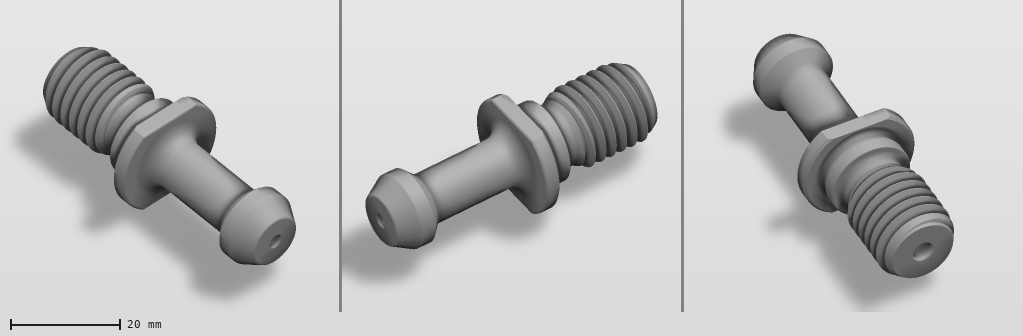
import cadquery as cq
import math


total_length = 57.15
flange_radius = 11.5
flange_face_x = 25.0
flange_back_x = 28.15
width_across_flats = 19.0
flange_edge = 0.5

thread_major_radius = 15.875 / 2
thread_core_radius = 6.4
thread_pitch = 25.4 / 11
thread_crest_flat = 0.12
thread_flank_angle = math.radians(30)
thread_chamfer_angle = math.radians(30)
crest_phase_x = 3.92
ridge_lead_in_turns = 3
ridge_turns = 10
ridge_embed = 0.2

neck_radius = 6.25
neck_start_x = 17.6
neck_fillet = 1.0
collar_radius = 8.15
collar_start_x = 20.5
collar_edge = 0.3
collar_end_x = 22.9

relief_radius = 7.77
relief_start_x = 24.08
relief_arc_start_x = 24.65
relief_arc_radius = 0.6
relief_face_radius = 9.2
relief_face_angle = math.radians(20)
flange_centre_depth = 1.0

stem_radius = 5.0
stem_root_fillet = 3.0
stem_head_fillet = 2.0
head_radius = 7.5
head_start_x = 50.13
head_end_x = 53.03
head_back_angle = math.radians(45)
head_nose_angle = math.radians(30)
head_edge_fillet = 0.5

bore_radius = 2.0
bore_depth = flange_face_x
bore_chamfer = 0.22
through_radius = 1.5
drill_tip_angle = math.radians(59)


def revolve_about_x(outline):
    return outline.close().revolve(360, (0, 0, 0), (1, 0, 0))


def make_shank():
    """Thread core chamfered at both ends, neck, pilot collar and flange centre.

    The flange centre carries the undercut: an arc from the relief cylinder into the
    flange, then a cone that rises to the flange face.
    """
    core_chamfer = (thread_core_radius - neck_radius) / math.tan(thread_chamfer_angle)
    half_angle = thread_chamfer_angle / 2
    tangent = neck_fillet * math.tan(half_angle)
    blend_start = (
        neck_start_x - tangent * math.cos(thread_chamfer_angle),
        neck_radius + tangent * math.sin(thread_chamfer_angle),
    )
    blend_end = (neck_start_x + tangent, neck_radius)

    slope_angle = math.atan2(collar_radius - relief_radius, relief_start_x - collar_end_x)
    relief_tangent = relief_arc_radius * math.tan(slope_angle / 2)
    slope_end = (
        relief_start_x - relief_tangent * math.cos(slope_angle),
        relief_radius + relief_tangent * math.sin(slope_angle),
    )

    face_cone_start = (
        relief_arc_start_x + relief_arc_radius * math.cos(relief_face_angle),
        relief_radius + relief_arc_radius * (1 + math.sin(relief_face_angle)),
    )

    outline = (
        cq.Workplane("XY")
        .lineTo(0, neck_radius)
        .lineTo(core_chamfer, thread_core_radius)
        .lineTo(neck_start_x - core_chamfer, thread_core_radius)
        .lineTo(*blend_start)
        .radiusArc(blend_end, -neck_fillet)
        .lineTo(collar_start_x - neck_fillet, neck_radius)
        .radiusArc((collar_start_x, neck_radius + neck_fillet), -neck_fillet)
        .lineTo(collar_start_x, collar_radius - collar_edge)
        .radiusArc((collar_start_x + collar_edge, collar_radius), collar_edge)
        .lineTo(collar_end_x, collar_radius)
        .lineTo(*slope_end)
        .radiusArc((relief_start_x + relief_tangent, relief_radius), -relief_arc_radius)
        .lineTo(relief_arc_start_x, relief_radius)
        .radiusArc(face_cone_start, -relief_arc_radius)
        .lineTo(flange_face_x, relief_face_radius)
        .lineTo(flange_face_x + flange_centre_depth, relief_face_radius)
        .lineTo(flange_face_x + flange_centre_depth, 0)
    )
    return revolve_about_x(outline)


def make_thread_ridge():
    """Helical ridge, trimmed by the chamfer cones at both ends of the thread."""
    root_radius = thread_core_radius - ridge_embed
    crest_half_width = thread_crest_flat / 2
    flank_run = (thread_major_radius - root_radius) * math.tan(thread_flank_angle)
    root_half_width = crest_half_width + flank_run

    helix = cq.Workplane(cq.Wire.makeHelix(thread_pitch, ridge_turns * thread_pitch, thread_core_radius))
    ridge = (
        cq.Workplane("XZ")
        .moveTo(root_radius, -root_half_width)
        .lineTo(thread_major_radius, -crest_half_width)
        .lineTo(thread_major_radius, crest_half_width)
        .lineTo(root_radius, root_half_width)
        .close()
        .sweep(helix, isFrenet=True)
    )
    start_x = crest_phase_x - (ridge_lead_in_turns + 0.5) * thread_pitch
    ridge = ridge.rotate((0, 0, 0), (0, 1, 0), 90).translate((start_x, 0, 0))

    rim_rise = neck_start_x / 2 * math.tan(thread_chamfer_angle)
    envelope = (
        cq.Workplane("XY")
        .lineTo(0, neck_radius)
        .lineTo(neck_start_x / 2, neck_radius + rim_rise)
        .lineTo(neck_start_x, neck_radius)
        .lineTo(neck_start_x, 0)
    )
    return ridge.intersect(revolve_about_x(envelope))


def make_flange():
    """Disc with two flats; front round rim chamfered, whole back edge rounded.

    A recess in its front takes the flange centre that is part of the shank.
    """
    thickness = flange_back_x - flange_face_x
    disc = (
        cq.Workplane("YZ", origin=(flange_face_x, 0, 0))
        .circle(flange_radius)
        .extrude(thickness)
        .faces("<X").edges().chamfer(flange_edge)
    )
    flats = cq.Workplane("XY").box(total_length * 2, flange_radius * 2, width_across_flats)
    flatted_disc = disc.intersect(flats).faces(">X").edges().fillet(flange_edge)
    centre = (
        cq.Workplane("YZ", origin=(flange_face_x, 0, 0))
        .circle(relief_face_radius)
        .extrude(flange_centre_depth)
    )
    return flatted_disc.cut(centre)


def make_stem_and_head():
    """Stem flared into the flange, with the conical grip head on its end."""
    back_rise = head_radius - stem_radius
    cone_foot_x = head_start_x - back_rise / math.tan(head_back_angle)
    tangent = stem_head_fillet * math.tan(head_back_angle / 2)
    fillet_end = (
        cone_foot_x + tangent * math.cos(head_back_angle),
        stem_radius + tangent * math.sin(head_back_angle),
    )
    nose_radius = head_radius - (total_length - head_end_x) * math.tan(head_nose_angle)

    outline = (
        cq.Workplane("XY")
        .moveTo(flange_back_x, 0)
        .lineTo(flange_back_x, stem_radius + stem_root_fillet)
        .radiusArc((flange_back_x + stem_root_fillet, stem_radius), -stem_root_fillet)
        .lineTo(cone_foot_x - tangent, stem_radius)
        .radiusArc(fillet_end, -stem_head_fillet)
        .lineTo(head_start_x, head_radius)
        .lineTo(head_end_x, head_radius)
        .lineTo(total_length, nose_radius)
        .lineTo(total_length, 0)
    )
    stem = revolve_about_x(outline)
    nose_edges = cq.selectors.BoxSelector(
        (head_end_x - head_edge_fillet, -flange_radius, -flange_radius),
        (total_length + head_edge_fillet, flange_radius, flange_radius),
        boundingbox=True,
    )
    return stem.edges("%CIRCLE").edges(nose_edges).fillet(head_edge_fillet)


def make_bore():
    """Chamfered bore from the thread end, coned down to a smaller through hole."""
    cone_length = (bore_radius - through_radius) / math.tan(drill_tip_angle)
    outline = (
        cq.Workplane("XY")
        .lineTo(0, bore_radius + bore_chamfer)
        .lineTo(bore_chamfer, bore_radius)
        .lineTo(bore_depth, bore_radius)
        .lineTo(bore_depth + cone_length, through_radius)
        .lineTo(total_length, through_radius)
        .lineTo(total_length, 0)
    )
    return revolve_about_x(outline)


body = make_shank().union(make_flange()).union(make_stem_and_head())
result = cq.Workplane(body.union(make_thread_ridge()).cut(make_bore()).solids().val())